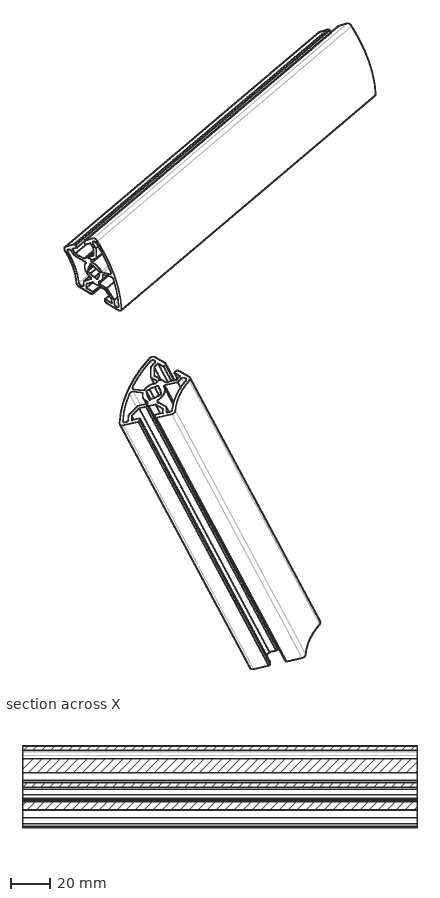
import cadquery as cq
import math

length = 200.0
face_width = 30.0
outer_radius = 2 * face_width
inner_radius = outer_radius - face_width
sector_angle = 45.0
half_angle = math.radians(sector_angle / 2)
corner_radius = 2.0

skin = 1.8
slot_wall = 1.8
rib_thickness = 1.5
rib_fillet = 1.5
rib_core_fillet = 0.8
cavity_floor = 1.8
cavity_end_fillet = 1.2
web_width = 5.2

mid_radius = (outer_radius + inner_radius) / 2
mouth_width = 8.0
mouth_chamfer = 0.8
lip_thickness = 2.2
slot_width = 16.8
slot_depth = 9.0
slot_bevel = 4.0
groove_width = 1.5
groove_depth = 0.8

core_radius = 6.0
core_bore_radius = 3.5
core_square_side = 6.5
core_square_turn = 75.0


def sketch_plane():
    """Section plane with local axes along X and Z."""
    return cq.Workplane("XZ")


def polar(radius, angle):
    """Section point at a distance from the common axis and an angle above X."""
    return (radius * math.cos(angle), radius * math.sin(angle))


def half_sector(r_in, r_out, base):
    """Ring sector from the height `base` up to the bisector."""
    return (
        sketch_plane()
        .moveTo(math.sqrt(r_in**2 - base**2), base)
        .lineTo(math.sqrt(r_out**2 - base**2), base)
        .threePointArc(polar(r_out, half_angle / 2), polar(r_out, half_angle))
        .lineTo(*polar(r_in, half_angle))
        .threePointArc(polar(r_in, half_angle / 2), (math.sqrt(r_in**2 - base**2), base))
        .close()
        .extrude(-length)
    )


def bevelled_channel(width, bottom, depth, bevel):
    """Channel along the face, from `bottom` to `depth`, with both deep corners cut at 45 degrees."""
    half = width / 2
    return (
        sketch_plane()
        .center(mid_radius, 0)
        .polyline([
            (-half, bottom),
            (half, bottom),
            (half, depth - bevel),
            (half - bevel, depth),
            (bevel - half, depth),
            (-half, depth - bevel),
        ])
        .close()
        .extrude(-length)
    )


def bisector_plane():
    """Section plane centred on the core, with local X along the bisector."""
    core_x, core_z = polar(mid_radius, half_angle)
    return sketch_plane().center(core_x, core_z).transformed(rotate=(0, 0, sector_angle / 2))


def rib_corner(radius):
    """Point on the lower side of the rib at a distance from the common axis."""
    return polar(radius, half_angle - rib_thickness / 2 / radius)


def edge_near(solid, point):
    """Select the lengthwise edge closest to a section point (X, Z)."""
    middle = (point[0], length / 2, point[1])
    return solid.edges("|Y").edges(cq.selectors.NearestToPointSelector(middle))


def half_cavities():
    """Hollow space between skins, slot wall, core tube and rib."""
    bevel_growth = slot_wall * (2 - math.sqrt(2))
    housing = bevelled_channel(
        slot_width + 2 * slot_wall, 0, slot_depth + slot_wall, slot_bevel + bevel_growth
    )
    core = bisector_plane().circle(core_radius).extrude(-length)
    core_height = polar(mid_radius, half_angle)[1]
    web = (
        sketch_plane()
        .center(mid_radius - web_width / 2, core_height / 2)
        .rect(web_width, core_height)
        .extrude(-length)
    )
    rib_length = outer_radius - mid_radius
    rib = bisector_plane().center(rib_length / 2, 0).rect(rib_length, rib_thickness).extrude(-length)

    hollow = half_sector(inner_radius + skin, outer_radius - skin, cavity_floor)
    hollow = hollow.cut(housing).cut(core).cut(web).cut(rib)
    floor_corners = (
        inner_radius + skin,
        mid_radius - slot_width / 2 - slot_wall,
        mid_radius + slot_width / 2 + slot_wall,
        outer_radius - skin,
    )
    for corner_x in floor_corners:
        hollow = edge_near(hollow, (corner_x, cavity_floor)).fillet(cavity_end_fillet)
    hollow = edge_near(hollow, rib_corner(outer_radius - skin)).fillet(rib_fillet)
    return edge_near(hollow, rib_corner(mid_radius + core_radius)).fillet(rib_core_fillet)


def half_body():
    """Solid below the bisector plane, with its slot, mouth, groove and hollows cut out."""
    body = half_sector(inner_radius, outer_radius, 0)
    body = body.edges("|Y and <Z").fillet(corner_radius)
    slot = bevelled_channel(slot_width, lip_thickness, slot_depth, slot_bevel)
    mouth = sketch_plane().center(mid_radius, 0).rect(mouth_width, 2 * slot_depth).extrude(-length)
    groove = (
        sketch_plane()
        .center(mid_radius, slot_depth)
        .polyline([(-groove_width / 2, 0), (0, groove_depth), (groove_width / 2, 0)])
        .close()
        .extrude(-length)
    )
    body = body.cut(half_cavities()).cut(slot).cut(mouth).cut(groove)
    for side in (-1, 1):
        mouth_edge = edge_near(body, (mid_radius + side * mouth_width / 2, 0))
        body = mouth_edge.chamfer(mouth_chamfer)
    return body


half = half_body()
bisector_normal = cq.Vector(-math.sin(half_angle), 0, math.cos(half_angle))
core_bore = bisector_plane().circle(core_bore_radius).extrude(-length)
core_square = (
    bisector_plane()
    .transformed(rotate=(0, 0, core_square_turn - sector_angle / 2))
    .rect(core_square_side, core_square_side)
    .extrude(-length)
)
result = half.union(half.mirror(bisector_normal)).cut(core_bore).cut(core_square)